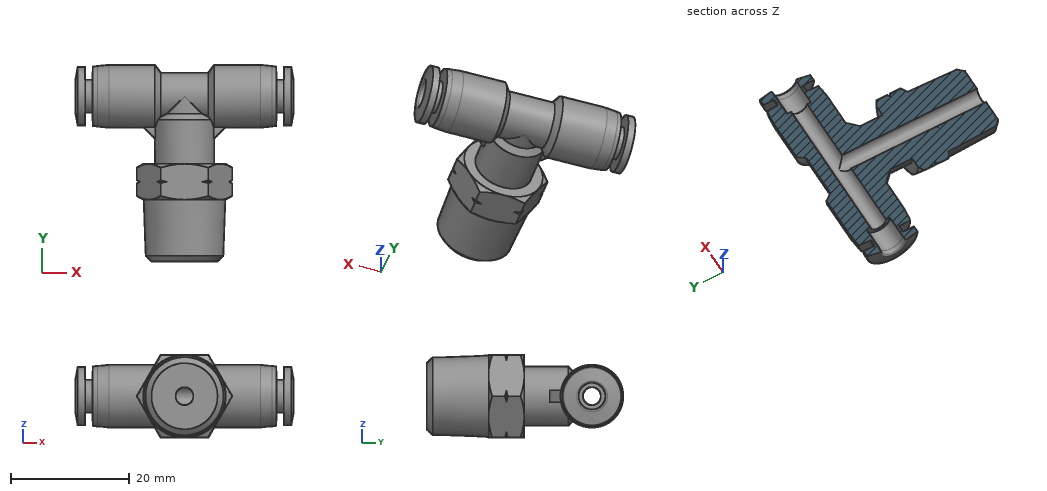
import cadquery as cq
import math


run_half_length = 18.5
body_radius = 5.33
neck_radius = 4.0
body_start = 5.0
body_taper_start = 12.8
body_taper_end = 14.73
body_taper_radius = 5.15
body_end = 15.6
body_end_radius = 5.05
body_end_crown = 0.1

collar_radius = 4.95
collar_inner_face = 16.8
collar_rim = 18.02
collar_rim_bevel_length = 0.07
collar_rim_bevel_width = 0.15
collar_stem_radius = 2.8

bore_diameter = 3.0
bore_radius = bore_diameter / 2
socket_radius = 2.25
socket_depth = 5.18
socket_lead_in_radius = 2.33
socket_lead_in_depth = 1.07
socket_mouth_round = 0.25
socket_mouth_radius = socket_lead_in_radius + socket_mouth_round

stem_radius = 5.05
stem_shoulder = 4.0
branch_end = 27.95

nut_start = 11.45
nut_end = 17.45
nut_across_flats = 14.0
nut_chamfer_angle = 30.0
nut_groove_depth = 0.48
nut_groove_width = 0.5

thread_base_radius = 6.92
thread_tip_radius = 6.6
thread_chamfer = 1.0

gusset_thickness = 2.07
gusset_reach = 12.17

nut_flat_radius = nut_across_flats / 2
nut_corner_radius = nut_flat_radius / math.cos(math.pi / 6)


def run_end():
    """Right-hand half of the run: neck, body and collar, turned about X."""
    outline = (
        cq.Workplane("XY")
        .moveTo(0, 0)
        .lineTo(0, neck_radius)
        .lineTo(neck_radius, neck_radius)
        .lineTo(body_start, body_radius)
        .lineTo(body_taper_start, body_radius)
        .lineTo(body_taper_end, body_taper_radius)
        .lineTo(body_end - body_end_crown, body_end_radius)
        .lineTo(body_end, collar_stem_radius)
        .lineTo(collar_inner_face, collar_stem_radius)
        .lineTo(collar_inner_face, collar_radius)
        .lineTo(collar_rim, collar_radius)
        .lineTo(collar_rim + collar_rim_bevel_length, collar_radius - collar_rim_bevel_width)
        .lineTo(run_half_length, socket_mouth_radius)
        .lineTo(run_half_length, 0)
        .close()
    )
    return outline.revolve(360, (0, 0, 0), (1, 0, 0))


def run_bore_end():
    """Right-hand half of the run bore with its tube socket, tapered lead-in and rounded mouth."""
    outline = (
        cq.Workplane("XY")
        .moveTo(0, 0)
        .lineTo(0, bore_radius)
        .lineTo(run_half_length - socket_depth, bore_radius)
        .lineTo(run_half_length - socket_depth, socket_radius)
        .lineTo(run_half_length - socket_lead_in_depth, socket_radius)
        .lineTo(run_half_length - socket_mouth_round, socket_lead_in_radius)
        .radiusArc((run_half_length, socket_mouth_radius), -socket_mouth_round)
        .lineTo(run_half_length, 0)
        .close()
    )
    return outline.revolve(360, (0, 0, 0), (1, 0, 0))


def both_ends(half):
    """Join a right-hand half of the run to its mirror image."""
    return half.union(half.mirror("YZ"))


def turned_on_branch(points):
    """Solid turned about Y from (radius, distance along the branch) points."""
    outline = cq.Workplane("XY").polyline([(radius, -distance) for radius, distance in points]).close()
    return outline.revolve(360, (0, 0, 0), (0, 1, 0))


def branch():
    """Stem with a conical shoulder, followed by the tapered thread."""
    shoulder_height = stem_radius - neck_radius
    return turned_on_branch([
        (0, 0),
        (neck_radius, 0),
        (neck_radius, stem_shoulder - shoulder_height),
        (stem_radius, stem_shoulder),
        (stem_radius, nut_end),
        (thread_base_radius, nut_end),
        (thread_tip_radius, branch_end - thread_chamfer),
        (thread_tip_radius - thread_chamfer, branch_end),
        (0, branch_end),
    ])


def nut():
    """Hexagon with chamfered corners and a V groove cut around its middle."""
    hexagon = (
        cq.Workplane("XZ", origin=(0, -nut_start, 0))
        .polygon(6, 2 * nut_corner_radius)
        .extrude(nut_end - nut_start)
    )
    chamfer_drop = (nut_corner_radius - nut_flat_radius) * math.tan(math.radians(nut_chamfer_angle))
    middle = (nut_start + nut_end) / 2
    envelope = turned_on_branch([
        (0, nut_start),
        (nut_flat_radius, nut_start),
        (nut_corner_radius, nut_start + chamfer_drop),
        (nut_corner_radius, middle - nut_groove_width / 2),
        (nut_corner_radius - nut_groove_depth, middle),
        (nut_corner_radius, middle + nut_groove_width / 2),
        (nut_corner_radius, nut_end - chamfer_drop),
        (nut_flat_radius, nut_end),
        (0, nut_end),
    ])
    return hexagon.intersect(envelope)


def gussets():
    """Thin 45 degree webs from the branch to both bodies, rooted inside the bodies."""
    return (
        cq.Workplane("XY")
        .polyline([
            (neck_radius - gusset_reach, -neck_radius),
            (gusset_reach - neck_radius, -neck_radius),
            (stem_radius, stem_radius - gusset_reach),
            (-stem_radius, stem_radius - gusset_reach),
        ])
        .close()
        .extrude(gusset_thickness / 2, both=True)
    )


def branch_bore():
    """Hole from the thread tip into the run bore."""
    return cq.Workplane("XZ").circle(bore_radius).extrude(branch_end)


result = both_ends(run_end()).union(branch()).union(nut()).union(gussets())
result = result.cut(both_ends(run_bore_end())).cut(branch_bore())